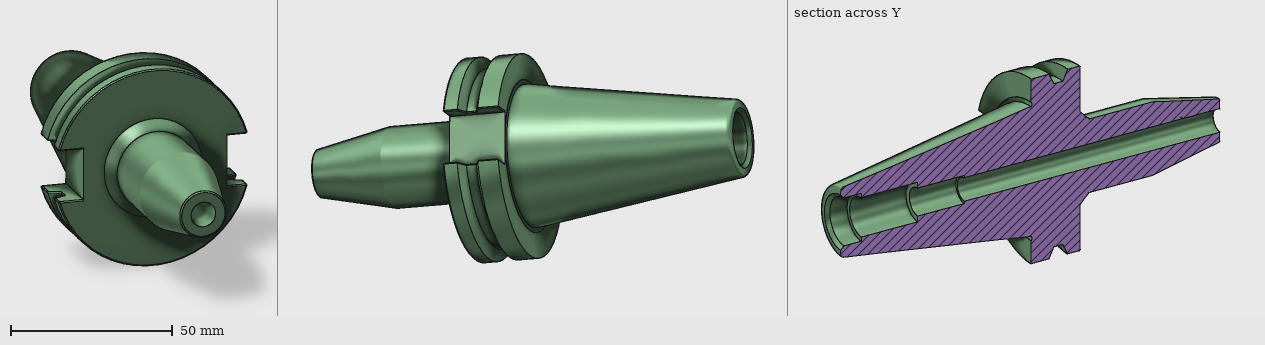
import cadquery as cq


GAUGE_DIAMETER = 44.45
SHANK_END_DIAMETER = 24.0
TAPER_LENGTH = 68.33
SHANK_END_ROUND = 1.5

FLANGE_DIAMETER = 63.5
FLANGE_START = 1.0
FLANGE_END = 19.05
FLANGE_CHAMFER = 0.4

GROOVE_CENTRE = 11.0
GROOVE_FLOOR_WIDTH = 3.2
GROOVE_FLOOR_DIAMETER = 56.2
GROOVE_MOUTH_WIDTH = 6.7

RELIEF_DIAMETER = 47.5
RELIEF_DEPTH = 0.3

SLOT_WIDTH = 16.38
SLOT_EDGE_CHAMFER = 0.38
FRONT_SLOT_FLOOR = 22.6
BACK_SLOT_FLOOR = 24.0

TOTAL_LENGTH = 138.18
NECK_DIAMETER = 25.4
COLLAR_DIAMETER = 31.75
NOSE_TAPER_LENGTH = 24.5
NOSE_TIP_DIAMETER = 14.9
NOSE_CHAMFER = 0.4

MOUTH_DIAMETER = 18.8
MOUTH_DEPTH = 1.2
COUNTERBORE_DIAMETER = 16.26
COUNTERBORE_DEPTH = 7.5
THREAD_BORE_DIAMETER = 13.39
THREAD_BORE_DEPTH = 28.0
PILOT_DIAMETER = 9.46
PILOT_DEPTH = 45.0
THROUGH_DIAMETER = 7.94

SHANK_END = -TAPER_LENGTH
NOSE_END = TOTAL_LENGTH - TAPER_LENGTH


def revolve_profile(profile):
    """Turn a closed (X, radius) profile about the X axis."""
    return profile.close().revolve(360, (0, 0, 0), (1, 0, 0))


def make_shank():
    gauge_radius = GAUGE_DIAMETER / 2
    end_radius = SHANK_END_DIAMETER / 2
    shank = revolve_profile(
        cq.Workplane("XY")
        .moveTo(SHANK_END, 0)
        .lineTo(SHANK_END, end_radius)
        .lineTo(0, gauge_radius)
        .lineTo(FLANGE_END, gauge_radius)
        .lineTo(FLANGE_END, 0)
    )
    return shank.faces("<X").edges().fillet(SHANK_END_ROUND)


def make_flange():
    radius = FLANGE_DIAMETER / 2
    disc = (
        cq.Workplane("YZ", origin=(FLANGE_START, 0, 0))
        .circle(radius)
        .extrude(FLANGE_END - FLANGE_START)
        .faces(">X")
        .chamfer(FLANGE_CHAMFER)
    )
    flange = disc.cut(make_groove())
    flange = cut_drive_slot(flange, -1, FRONT_SLOT_FLOOR)
    flange = cut_drive_slot(flange, 1, BACK_SLOT_FLOOR)
    return flange.cut(make_relief())


def make_groove():
    outer_radius = FLANGE_DIAMETER / 2
    floor_radius = GROOVE_FLOOR_DIAMETER / 2
    half_floor = GROOVE_FLOOR_WIDTH / 2
    half_mouth = GROOVE_MOUTH_WIDTH / 2
    return revolve_profile(
        cq.Workplane("XY")
        .moveTo(GROOVE_CENTRE - half_mouth, outer_radius)
        .lineTo(GROOVE_CENTRE - half_floor, floor_radius)
        .lineTo(GROOVE_CENTRE + half_floor, floor_radius)
        .lineTo(GROOVE_CENTRE + half_mouth, outer_radius)
    )


def make_relief():
    inner_radius = GAUGE_DIAMETER / 2
    outer_radius = RELIEF_DIAMETER / 2
    middle_radius = (outer_radius + inner_radius) / 2
    return revolve_profile(
        cq.Workplane("XY")
        .moveTo(FLANGE_START, inner_radius)
        .threePointArc(
            (FLANGE_START + RELIEF_DEPTH, middle_radius),
            (FLANGE_START, outer_radius),
        )
    )


def cut_drive_slot(flange, side, floor_distance):
    """Cut the slot on one side (-1 or +1 along Y) and bevel the outer edges of its walls."""
    rim = FLANGE_DIAMETER / 2
    width = FLANGE_END - FLANGE_START
    slot_centre = ((FLANGE_START + FLANGE_END) / 2, side * (rim + floor_distance) / 2, 0)
    slot = cq.Workplane("XY", origin=slot_centre).box(width, rim - floor_distance, SLOT_WIDTH)
    slotted = flange.cut(slot)

    margin = 0.01
    wall_zone = cq.selectors.BoxSelector(
        (FLANGE_START - margin, side * (floor_distance + margin), -SLOT_WIDTH / 2 - margin),
        (FLANGE_END + margin, side * (rim + margin), SLOT_WIDTH / 2 + margin),
    )
    return slotted.edges(wall_zone).chamfer(SLOT_EDGE_CHAMFER)


def make_nose():
    neck_radius = NECK_DIAMETER / 2
    collar_radius = COLLAR_DIAMETER / 2
    nose = revolve_profile(
        cq.Workplane("XY")
        .moveTo(FLANGE_END, 0)
        .lineTo(FLANGE_END, collar_radius)
        .lineTo(FLANGE_END + collar_radius - neck_radius, neck_radius)
        .lineTo(NOSE_END - NOSE_TAPER_LENGTH, neck_radius)
        .lineTo(NOSE_END, NOSE_TIP_DIAMETER / 2)
        .lineTo(NOSE_END, 0)
    )
    return nose.faces(">X").edges().chamfer(NOSE_CHAMFER)


def make_bore():
    mouth_radius = MOUTH_DIAMETER / 2
    counterbore_radius = COUNTERBORE_DIAMETER / 2
    bore = revolve_profile(
        cq.Workplane("XY")
        .moveTo(SHANK_END, 0)
        .lineTo(SHANK_END, mouth_radius)
        .lineTo(SHANK_END + MOUTH_DEPTH, counterbore_radius)
        .lineTo(SHANK_END + MOUTH_DEPTH, 0)
    )
    steps = [
        (COUNTERBORE_DIAMETER, COUNTERBORE_DEPTH),
        (THREAD_BORE_DIAMETER, THREAD_BORE_DEPTH),
        (PILOT_DIAMETER, PILOT_DEPTH),
        (THROUGH_DIAMETER, TOTAL_LENGTH),
    ]
    for diameter, depth in steps:
        step = cq.Workplane("YZ", origin=(SHANK_END, 0, 0)).circle(diameter / 2).extrude(depth)
        bore = bore.union(step)
    return bore


result = make_shank().union(make_flange()).union(make_nose()).cut(make_bore())